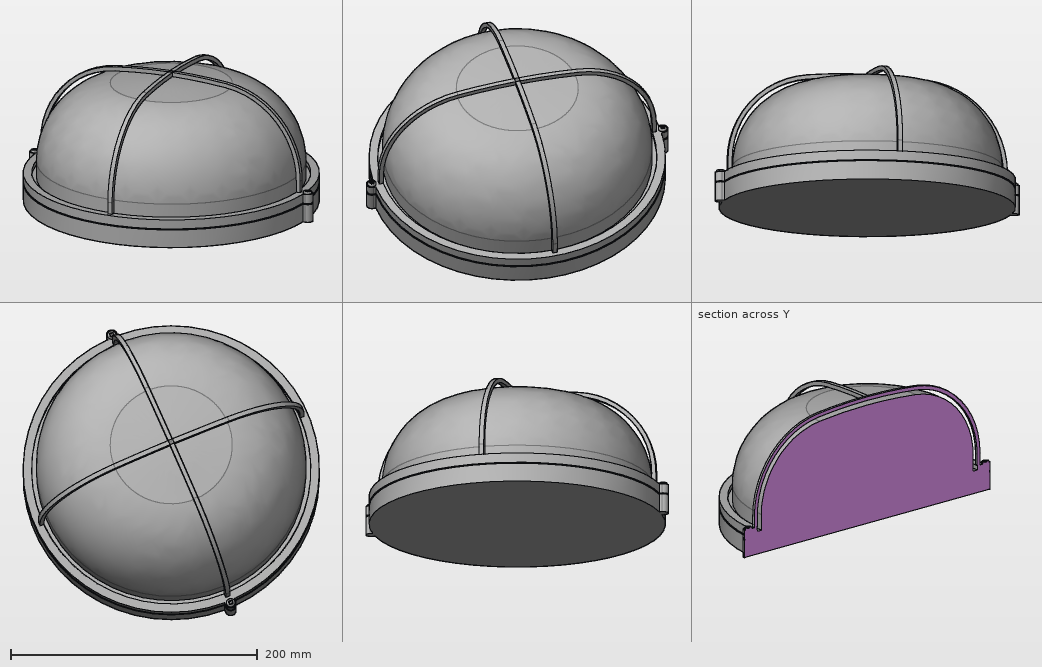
import cadquery as cq
import math

overall_length = 253.0
overall_height = 110.0

base_diameter = 240.0
base_radius = base_diameter / 2
base_height = 23.8
joint_bottom = 15.2
joint_width = 0.8
joint_depth = 0.5

boss_width = 8.9
boss_radius = boss_width / 2
boss_center = overall_length / 2 - boss_radius
head_radius = 3.5
head_height = 2.0
head_fillet = 1.8
recess_length = 3.5
recess_width = 1.3
recess_depth = 1.0

dome_radius = 109.3
dome_wall_top = 33.6
shoulder_radius = 67.0
gap_width = 3.8
gap_depth = 3.8

guard_outer_radius = 116.5
bar_thickness = 3.5
bar_width = 3.8

guard_offset = guard_outer_radius - dome_radius
dome_height = overall_height - guard_offset

shoulder_center = dome_radius - shoulder_radius
dome_rise = dome_height - dome_wall_top
crown_radius = (shoulder_center**2 + dome_rise**2 - shoulder_radius**2) / (
    2 * (dome_rise - shoulder_radius)
)
shoulder_end_angle = math.asin(shoulder_center / (crown_radius - shoulder_radius))


def dome_outline(offset, bottom):
    """Half of the dome profile in the XZ plane, grown outward by offset and closed along the Z axis."""
    radius = shoulder_radius + offset
    crown = crown_radius + offset
    crown_center = dome_height - crown_radius

    def shoulder_point(angle):
        return (shoulder_center + radius * math.sin(angle), dome_wall_top + radius * math.cos(angle))

    def crown_point(angle):
        return (crown * math.sin(angle), crown_center + crown * math.cos(angle))

    middle_angle = (shoulder_end_angle + math.pi / 2) / 2
    return (
        cq.Workplane("XZ")
        .moveTo(0, bottom)
        .lineTo(dome_radius + offset, bottom)
        .lineTo(dome_radius + offset, dome_wall_top)
        .threePointArc(shoulder_point(middle_angle), shoulder_point(shoulder_end_angle))
        .threePointArc(crown_point(shoulder_end_angle / 2), crown_point(0))
        .close()
    )


def base_layer(bottom, height, inset):
    """Slice of the base with both bosses, its outline moved inward by inset."""
    radius = boss_radius - inset
    disc = cq.Workplane("XY").workplane(offset=bottom).circle(base_radius - inset).extrude(height)
    bosses = (
        cq.Workplane("XY")
        .workplane(offset=bottom)
        .slot2D(2 * (boss_center + radius), 2 * radius)
        .extrude(height)
    )
    return disc.union(bosses)


def make_base():
    joint_top = joint_bottom + joint_width
    tray = base_layer(0, joint_bottom, 0)
    joint = base_layer(joint_bottom, joint_width, joint_depth)
    ring = base_layer(joint_top, base_height - joint_top, 0)
    gap = (
        cq.Workplane("XY")
        .workplane(offset=base_height - gap_depth)
        .circle(dome_radius + gap_width)
        .extrude(gap_depth)
    )
    return tray.union(joint).union(ring).cut(gap)


def make_dome():
    return dome_outline(0, base_height - gap_depth).revolve(360, (0, 0, 0), (0, 1, 0))


def make_guard_bar():
    """Bar arching over the dome in the XZ plane, standing on the clamping ring."""
    outer = dome_outline(guard_offset, base_height).extrude(bar_width / 2, both=True)
    inner = dome_outline(guard_offset - bar_thickness, base_height).extrude(bar_width / 2, both=True)
    half_bar = outer.cut(inner)
    return half_bar.union(half_bar.mirror("YZ"))


def make_screw_head(x):
    """Rounded screw head with a cross recess turned 45 degrees."""
    head = (
        cq.Workplane("XY", origin=(x, 0, base_height))
        .circle(head_radius)
        .extrude(head_height)
        .faces(">Z")
        .edges()
        .fillet(head_fillet)
    )
    for angle in (45, 135):
        arm = (
            cq.Workplane("XY", origin=(x, 0, base_height + head_height))
            .transformed(rotate=(0, 0, angle))
            .rect(recess_length, recess_width)
            .extrude(-recess_depth)
        )
        head = head.cut(arm)
    return head


guard_bar = make_guard_bar()
crossing_bar = guard_bar.rotate((0, 0, 0), (0, 0, 1), 90)

result = make_base().union(make_dome()).union(guard_bar).union(crossing_bar)
for side in (-1, 1):
    result = result.union(make_screw_head(side * boss_center))